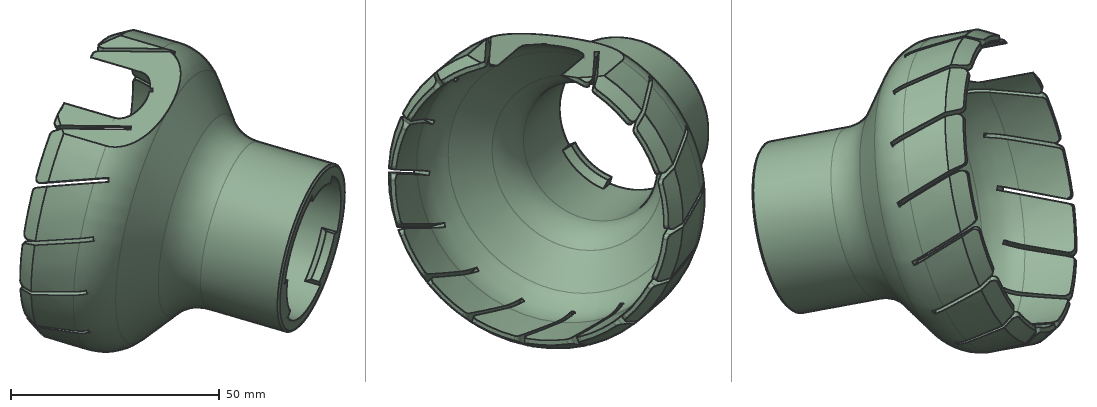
import cadquery as cq
import math

LENGTH = 61.0

RIM_OUTER_RADIUS = 36.2
LEAD_IN_LENGTH = 3.8
HEAD_RADIUS = 38.4
SHOULDER_START_X = 14.7
NECK_OUTER_RADIUS = 42.0 / 2
NECK_CHAMFER = 0.5

HEAD_INNER_RADIUS = 35.0
INNER_SHOULDER_START_X = 13.0
BORE_RADIUS = 36.0 / 2

SHOULDER_ARC_RADIUS = 12.0
CONE_ANGLE = math.radians(50.0)

FLAT_HEIGHT = 34.0

SLOT_COUNT = 16
SLOT_WIDTH = 1.0
SLOT_TILT = 20.0
SLOT_PIVOT_X = 7.4
SLOT_REACH = 11.2
SLOT_CORNER_RADIUS = 1.2
SLOT_FLOOR_RADIUS = 28.0

LUG_COUNT = 3
LUG_INNER_RADIUS = 16.2
LUG_SPAN = 44.0
LUG_FIRST_ANGLE = 90.0
LUG_LENGTH = 4.0
LUG_ROOT = 0.5

CLEARANCE = 5.0


def add_shoulder(profile, start_x, start_radius, end_radius):
    """Continue an (x, radius) profile down an arc, a cone and a reversed arc."""
    arc_run = SHOULDER_ARC_RADIUS * math.sin(CONE_ANGLE)
    arc_drop = SHOULDER_ARC_RADIUS * (1 - math.cos(CONE_ANGLE))
    mid_run = SHOULDER_ARC_RADIUS * math.sin(CONE_ANGLE / 2)
    mid_drop = SHOULDER_ARC_RADIUS * (1 - math.cos(CONE_ANGLE / 2))
    cone_drop = start_radius - end_radius - 2 * arc_drop
    cone_run = cone_drop / math.tan(CONE_ANGLE)
    end_x = start_x + 2 * arc_run + cone_run
    return (
        profile.lineTo(start_x, start_radius)
        .threePointArc(
            (start_x + mid_run, start_radius - mid_drop),
            (start_x + arc_run, start_radius - arc_drop),
        )
        .lineTo(end_x - arc_run, end_radius + arc_drop)
        .threePointArc((end_x - mid_run, end_radius + mid_drop), (end_x, end_radius))
    )


def revolve_about_x(profile, angle=360.0):
    """Close the profile and turn it about the part axis."""
    return profile.close().revolve(angle, (0, 0, 0), (1, 0, 0))


def make_outer_solid():
    profile = (
        cq.Workplane("XY")
        .lineTo(0, RIM_OUTER_RADIUS)
        .lineTo(LEAD_IN_LENGTH, HEAD_RADIUS)
    )
    profile = add_shoulder(profile, SHOULDER_START_X, HEAD_RADIUS, NECK_OUTER_RADIUS)
    profile = (
        profile.lineTo(LENGTH - NECK_CHAMFER, NECK_OUTER_RADIUS)
        .lineTo(LENGTH, NECK_OUTER_RADIUS - NECK_CHAMFER)
        .lineTo(LENGTH, 0)
    )
    return revolve_about_x(profile)


def make_inner_void():
    profile = cq.Workplane("XY").lineTo(0, HEAD_INNER_RADIUS)
    profile = add_shoulder(profile, INNER_SHOULDER_START_X, HEAD_INNER_RADIUS, BORE_RADIUS)
    profile = profile.lineTo(LENGTH, BORE_RADIUS).lineTo(LENGTH, 0)
    return revolve_about_x(profile)


def make_flat_cutter():
    """Block above the flat; it also opens a window where the wall is thinnest."""
    width = 2 * (HEAD_RADIUS + CLEARANCE)
    return (
        cq.Workplane("XY", origin=(0, 0, FLAT_HEIGHT))
        .rect(2 * LENGTH, width)
        .extrude(HEAD_RADIUS)
    )


def make_slot_cutter():
    """Tilted slot through the -Y wall, with rounded corners where it meets the rim."""
    depth = HEAD_RADIUS + CLEARANCE - SLOT_FLOOR_RADIUS
    plane = cq.Workplane("XZ", origin=(0, -SLOT_FLOOR_RADIUS, 0))
    back_length = SLOT_PIVOT_X + CLEARANCE
    bar = (
        plane.center(SLOT_PIVOT_X, 0)
        .transformed(rotate=(0, 0, SLOT_TILT))
        .center((SLOT_REACH - back_length) / 2, 0)
        .rect(SLOT_REACH + back_length, SLOT_WIDTH)
        .extrude(depth)
    )
    mouth_offset = -SLOT_PIVOT_X * math.tan(math.radians(SLOT_TILT))
    slab = (
        plane.center(-CLEARANCE, mouth_offset)
        .rect(2 * CLEARANCE, 2 * CLEARANCE)
        .extrude(depth)
    )
    corner_zone = cq.selectors.BoxSelector(
        (-SLOT_WIDTH / 2, -2 * HEAD_RADIUS, mouth_offset - SLOT_WIDTH),
        (SLOT_WIDTH / 2, 0, mouth_offset + SLOT_WIDTH),
    )
    return slab.union(bar).edges("|Y").edges(corner_zone).fillet(SLOT_CORNER_RADIUS)


def make_lug(angle):
    """Lug on the bore at the neck end, with a 45 degree ramp facing the mouth.

    The angle is measured from -Y towards +Z; the lug begins there and spans LUG_SPAN onwards.
    """
    start_x = LENGTH - LUG_LENGTH
    ramp = BORE_RADIUS - LUG_INNER_RADIUS
    profile = (
        cq.Workplane("XY")
        .moveTo(start_x, -BORE_RADIUS)
        .lineTo(start_x + ramp, -LUG_INNER_RADIUS)
        .lineTo(LENGTH, -LUG_INNER_RADIUS)
        .lineTo(LENGTH, -BORE_RADIUS - LUG_ROOT)
        .lineTo(start_x, -BORE_RADIUS - LUG_ROOT)
    )
    lug = revolve_about_x(profile, LUG_SPAN)
    return lug.rotate((0, 0, 0), (1, 0, 0), -(angle + LUG_SPAN))


body = make_outer_solid().cut(make_inner_void()).cut(make_flat_cutter())

slot_cutter = make_slot_cutter()
for index in range(SLOT_COUNT):
    body = body.cut(slot_cutter.rotate((0, 0, 0), (1, 0, 0), index * 360 / SLOT_COUNT))

for index in range(LUG_COUNT):
    body = body.union(make_lug(LUG_FIRST_ANGLE + index * 360 / LUG_COUNT))

result = body